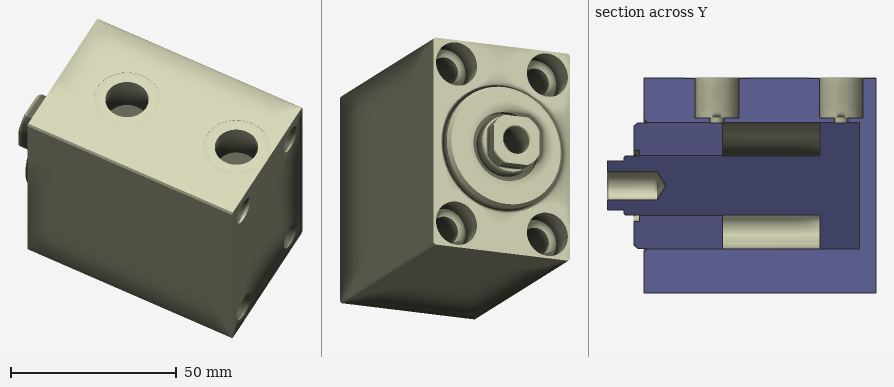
import cadquery as cq
import math


OVERALL_LENGTH = 81.0

BLOCK_LENGTH = 70.0
BLOCK_WIDTH = 45.0
BLOCK_HEIGHT = 65.0
BLOCK_EDGE_CHAMFER = 0.6

BORE_DIAMETER = 38.0
BORE_DEPTH = 65.0
BORE_MOUTH_DIAMETER = 40.0

BOLT_SPACING_Y = 30.0
BOLT_SPACING_Z = 50.0
BOLT_HOLE_DIAMETER = 8.6
BOLT_HEAD_DIAMETER = 13.5
BOLT_HEAD_DEPTH = 8.6

PORT_POSITIONS_X = (22.0, 59.45)
PORT_DIAMETER = 13.05
PORT_DEPTH = 12.0
PORT_SPOTFACE_DIAMETER = 20.0
PORT_SPOTFACE_DEPTH = 0.1
OIL_PASSAGE_DIAMETER = 4.0

GLAND_PROTRUSION = 3.1
GLAND_INSERTION = 23.7
GLAND_CHAMFER_LENGTH = 1.2
GLAND_CHAMFER_DEPTH = 1.0
WIPER_RECESS_DIAMETER = 21.5
WIPER_RECESS_DEPTH = 1.6

ROD_DIAMETER = 18.0
ROD_PROTRUSION = OVERALL_LENGTH - BLOCK_LENGTH
ROD_SHOULDER_CHAMFER = 0.5
TIP_LENGTH = 4.95
TIP_DIAMETER = ROD_DIAMETER - 2 * ROD_SHOULDER_CHAMFER
TIP_ACROSS_FLATS = 15.0
TIP_CHAMFER = 0.25
PISTON_LENGTH = 12.0

ROD_HOLE_DIAMETER = 8.5
ROD_HOLE_DEPTH = 15.0
ROD_HOLE_CHAMFER = 0.3
DRILL_POINT_ANGLE = 118


def cylinder_along_x(diameter, x_start, x_end):
    return cq.Workplane("YZ", origin=(x_start, 0, 0)).circle(diameter / 2).extrude(x_end - x_start)


def revolve_about_x(points):
    """Turn a closed outline of (x, radius) points about the X axis."""
    return cq.Workplane("XY").polyline(points).close().revolve(360, (0, 0, 0), (1, 0, 0))


def make_bore():
    bore_radius = BORE_DIAMETER / 2
    mouth_radius = BORE_MOUTH_DIAMETER / 2
    return revolve_about_x([
        (0, 0),
        (0, mouth_radius),
        (mouth_radius - bore_radius, bore_radius),
        (BORE_DEPTH, bore_radius),
        (BORE_DEPTH, 0),
    ])


def make_port(x):
    """Spotface, port and oil passage, stacked downward from the top face into the bore."""
    top = cq.Workplane("XY", origin=(x, 0, BLOCK_HEIGHT / 2))
    spotface = top.circle(PORT_SPOTFACE_DIAMETER / 2).extrude(-PORT_SPOTFACE_DEPTH)
    port = top.circle(PORT_DIAMETER / 2).extrude(-PORT_DEPTH)
    passage = top.circle(OIL_PASSAGE_DIAMETER / 2).extrude(-BLOCK_HEIGHT / 2)
    return spotface.union(port).union(passage)


def make_housing():
    block = (
        cq.Workplane("XY")
        .box(BLOCK_LENGTH, BLOCK_WIDTH, BLOCK_HEIGHT, centered=(False, True, True))
        .edges("|X")
        .chamfer(BLOCK_EDGE_CHAMFER)
    )
    block = (
        block.faces("<X")
        .workplane(origin=(0, 0, 0))
        .rect(BOLT_SPACING_Y, BOLT_SPACING_Z, forConstruction=True)
        .vertices()
        .cboreHole(BOLT_HOLE_DIAMETER, BOLT_HEAD_DIAMETER, BOLT_HEAD_DEPTH)
    )
    for x in PORT_POSITIONS_X:
        block = block.cut(make_port(x))
    return block.cut(make_bore())


def make_gland():
    radius = BORE_DIAMETER / 2
    recess_radius = WIPER_RECESS_DIAMETER / 2
    rod_radius = ROD_DIAMETER / 2
    front = -GLAND_PROTRUSION
    return revolve_about_x([
        (front, recess_radius),
        (front, radius - GLAND_CHAMFER_DEPTH),
        (front + GLAND_CHAMFER_LENGTH, radius),
        (GLAND_INSERTION, radius),
        (GLAND_INSERTION, rod_radius),
        (front + WIPER_RECESS_DEPTH, rod_radius),
        (front + WIPER_RECESS_DEPTH, recess_radius),
    ])


def make_rod_tip(front):
    """Round tip with four wrench flats and a chamfered end."""
    tip = cylinder_along_x(TIP_DIAMETER, front, front + TIP_LENGTH).faces("<X").chamfer(TIP_CHAMFER)
    square = (
        cq.Workplane("YZ", origin=(front, 0, 0))
        .rect(TIP_ACROSS_FLATS, TIP_ACROSS_FLATS)
        .extrude(TIP_LENGTH)
    )
    return tip.intersect(square)


def make_rod_hole(front):
    radius = ROD_HOLE_DIAMETER / 2
    bottom = front + ROD_HOLE_DEPTH
    point_length = radius / math.tan(math.radians(DRILL_POINT_ANGLE / 2))
    return revolve_about_x([
        (front, 0),
        (front, radius + ROD_HOLE_CHAMFER),
        (front + ROD_HOLE_CHAMFER, radius),
        (bottom, radius),
        (bottom + point_length, 0),
    ])


def make_piston_rod():
    """Rod and piston in one piece, retracted so that the piston rests on the bottom of the bore."""
    front = -ROD_PROTRUSION
    piston_front = BORE_DEPTH - PISTON_LENGTH
    shaft = (
        cylinder_along_x(ROD_DIAMETER, front + TIP_LENGTH, piston_front)
        .faces("<X")
        .chamfer(ROD_SHOULDER_CHAMFER)
    )
    piston = cylinder_along_x(BORE_DIAMETER, piston_front, BORE_DEPTH)
    return shaft.union(piston).union(make_rod_tip(front)).cut(make_rod_hole(front))


housing = make_housing()
gland = make_gland()
piston_rod = make_piston_rod()

result = cq.Compound.makeCompound([housing.val(), gland.val(), piston_rod.val()])